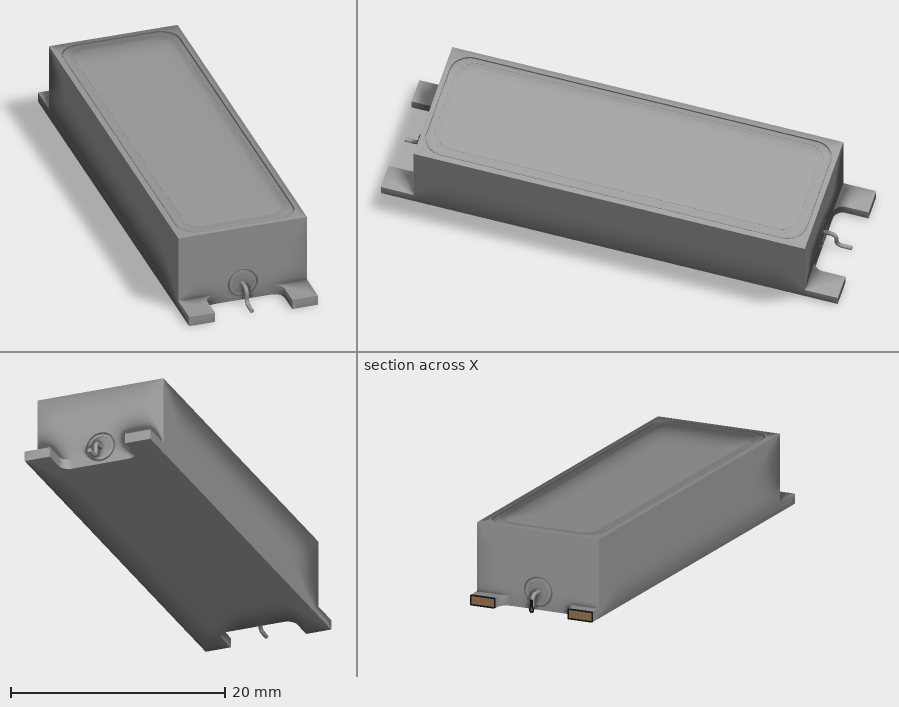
import cadquery as cq

LENGTH = 44.5
WIDTH = 12.7
HEIGHT = 7.7
CASE_LENGTH = 38.1
PLATE_THICKNESS = 1.0
TAB_WIDTH = 2.55
TAB_FILLET = 1.0

LID_LENGTH = 37.0
LID_WIDTH = 11.4
LID_CORNER = 1.85
LID_SINK = 0.1
LID_GAP = 0.1
LID_GAP_DEPTH = 0.1

GROOVE_LENGTH = 35.9
GROOVE_FRAME_WIDTH = 10.55
GROOVE_CORNER = 2.0
GROOVE_BAND = 0.5
GROOVE_DEPTH = 0.022

FEEDTHROUGH_HEIGHT = 1.75
BORE_DIAMETER = 3.0
BUSHING_DIAMETER = 2.6
GLASS_DIAMETER = 2.1
BUSHING_GAP_DEPTH = 0.22
GLASS_RECESS = 0.1

LEAD_DIAMETER = 0.4
LEAD_BEND = 0.6
LEAD_DROP_X = 20.25
LEAD_TIP_X = 21.75
LEAD_ROOT_DEPTH = 0.45

case_end = CASE_LENGTH / 2
lid_top = HEIGHT - LID_SINK


def rounded_block(length, width, corner, bottom, height):
    """Centred block with rounded vertical corners, standing on the given level."""
    return (
        cq.Workplane("XY", origin=(0, 0, bottom))
        .rect(length, width)
        .extrude(height)
        .edges("|Z")
        .fillet(corner)
    )


def rounded_frame(length, width, corner, band, depth):
    """Frame of constant band width, reaching down from the lid surface."""
    bottom = lid_top - depth
    outer = rounded_block(length, width, corner, bottom, depth)
    inner = rounded_block(length - 2 * band, width - 2 * band, corner - band, bottom, depth)
    return outer.cut(inner)


def base_plate():
    """Full-length plate, notched at both ends to leave four corner tabs."""
    plate = cq.Workplane("XY").box(LENGTH, WIDTH, PLATE_THICKNESS, centered=(True, True, False))
    tab_length = LENGTH / 2 - case_end
    notch = (
        cq.Workplane("XY")
        .center(case_end + tab_length / 2, 0)
        .rect(tab_length, WIDTH - 2 * TAB_WIDTH)
        .extrude(PLATE_THICKNESS)
        .edges("|Z and <X")
        .fillet(TAB_FILLET)
    )
    return plate.cut(notch).cut(notch.mirror("YZ"))


def cut_lid(body):
    """Sink the lid into the case, then cut its clearance gap and pressed groove."""
    opening_length = LID_LENGTH + 2 * LID_GAP
    opening_width = LID_WIDTH + 2 * LID_GAP
    opening_corner = LID_CORNER + LID_GAP
    opening = rounded_block(opening_length, opening_width, opening_corner, lid_top, LID_SINK)
    gap = rounded_frame(opening_length, opening_width, opening_corner, LID_GAP, LID_GAP_DEPTH)
    groove = rounded_frame(GROOVE_LENGTH, GROOVE_FRAME_WIDTH, GROOVE_CORNER, GROOVE_BAND, GROOVE_DEPTH)
    return body.cut(opening).cut(gap).cut(groove)


def end_disc(diameter, depth):
    """Disc reaching inward from the +X end wall on the feedthrough axis."""
    return (
        cq.Workplane("YZ", origin=(case_end - depth, 0, FEEDTHROUGH_HEIGHT))
        .circle(diameter / 2)
        .extrude(depth)
    )


def feedthrough_recess():
    """Gap around the bushing together with the sunken glass face, at the +X end."""
    bore = end_disc(BORE_DIAMETER, BUSHING_GAP_DEPTH)
    bushing = end_disc(BUSHING_DIAMETER, BUSHING_GAP_DEPTH)
    glass = end_disc(GLASS_DIAMETER, GLASS_RECESS)
    return bore.cut(bushing).union(glass)


def lead():
    """Round wire rooted in the +X wall and swept along its two opposite bends."""
    foot_height = LEAD_DIAMETER / 2
    root_x = case_end - LEAD_ROOT_DEPTH
    path = (
        cq.Workplane("XZ")
        .moveTo(root_x, FEEDTHROUGH_HEIGHT)
        .lineTo(LEAD_DROP_X - LEAD_BEND, FEEDTHROUGH_HEIGHT)
        .tangentArcPoint((LEAD_BEND, -LEAD_BEND))
        .lineTo(LEAD_DROP_X, foot_height + LEAD_BEND)
        .tangentArcPoint((LEAD_BEND, -LEAD_BEND))
        .lineTo(LEAD_TIP_X, foot_height)
    )
    return (
        cq.Workplane("YZ", origin=(root_x, 0, FEEDTHROUGH_HEIGHT))
        .circle(LEAD_DIAMETER / 2)
        .sweep(path)
    )


case = cq.Workplane("XY").box(CASE_LENGTH, WIDTH, HEIGHT, centered=(True, True, False))
body = cut_lid(case.union(base_plate()))

recess = feedthrough_recess()
wire = lead()
body = body.cut(recess).cut(recess.mirror("YZ"))
result = body.union(wire).union(wire.mirror("YZ"))